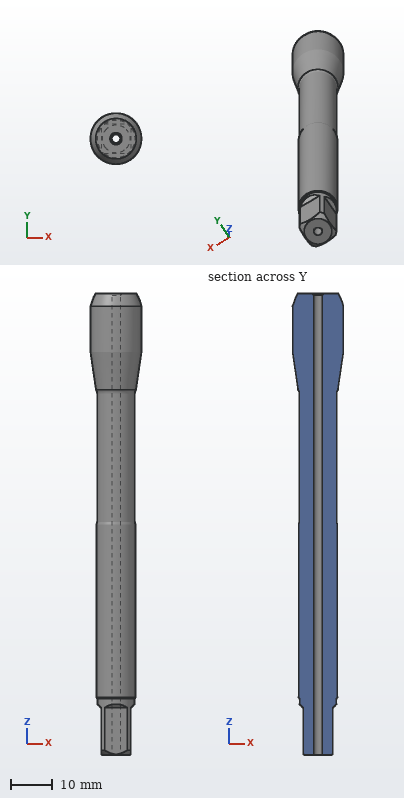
import cadquery as cq

length = 110.0
head_diameter = 12.2
head_top_diameter = 9.7
head_base_diameter = 9.6
neck_diameter = 9.0
shank_diameter = 9.4
drive_diameter = 8.9

head_crown_height = 3.1
crown_radius = 9.4
crown_bottom = length - head_crown_height
taper_top = 96.0
taper_bottom = 87.0
neck_top = 86.0
neck_bottom = 55.5
shank_top = 54.9
shank_bottom = 13.8
shank_chamfer_height = 0.3

square_width = 7.0
flat_height = 11.2
flat_count = 4
end_diameter = 6.6

bore_diameter = 2.0
mouth_diameter = 2.9


def turned_body():
    """Revolve the half profile of the stepped body about Z."""
    head_radius = head_diameter / 2
    neck_radius = neck_diameter / 2
    shank_radius = shank_diameter / 2
    drive_radius = drive_diameter / 2
    end_radius = end_diameter / 2
    end_chamfer = drive_radius - end_radius
    profile = (
        cq.Workplane("XZ")
        .lineTo(end_radius, 0)
        .lineTo(drive_radius, end_chamfer)
        .lineTo(drive_radius, shank_bottom - shank_chamfer_height)
        .lineTo(shank_radius, shank_bottom)
        .lineTo(shank_radius, shank_top)
        .lineTo(neck_radius, neck_bottom)
        .lineTo(neck_radius, neck_top)
        .tangentArcPoint((head_base_diameter / 2, taper_bottom), relative=False)
        .lineTo(head_radius, taper_top)
        .lineTo(head_radius, crown_bottom)
        .radiusArc((head_top_diameter / 2, length), -crown_radius)
        .lineTo(0, length)
        .close()
    )
    return profile.revolve(360, (0, 0, 0), (0, 1, 0))


def flat_cutter():
    """Material removed beside one flat, with a 45 degree runout at its top."""
    inner = square_width / 2
    outer = head_diameter / 2
    return (
        cq.Workplane("XZ")
        .moveTo(inner, 0)
        .lineTo(outer, 0)
        .lineTo(outer, flat_height + outer - inner)
        .lineTo(inner, flat_height)
        .close()
        .extrude(head_diameter / 2, both=True)
    )


def countersunk_bore():
    """Through bore with a 90 degree countersink at the top."""
    bore_radius = bore_diameter / 2
    mouth_radius = mouth_diameter / 2
    mouth_depth = mouth_radius - bore_radius
    return (
        cq.Workplane("XZ")
        .lineTo(bore_radius, 0)
        .lineTo(bore_radius, length - mouth_depth)
        .lineTo(mouth_radius, length)
        .lineTo(0, length)
        .close()
        .revolve(360, (0, 0, 0), (0, 1, 0))
    )


result = turned_body()
for index in range(flat_count):
    angle = index * 360 / flat_count
    result = result.cut(flat_cutter().rotate((0, 0, 0), (0, 0, 1), angle))
result = result.cut(countersunk_bore())